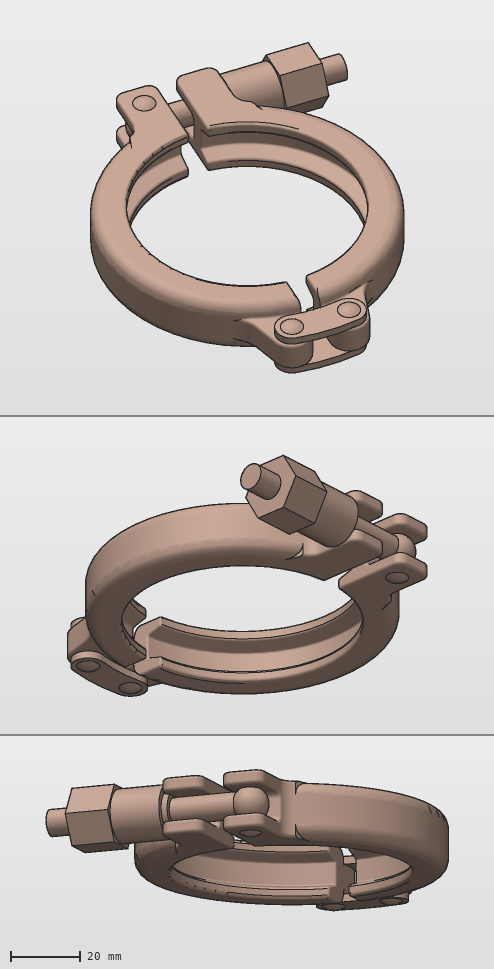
import cadquery as cq
import math

from_box = cq.selectors.BoxSelector
TOL = 0.1

RING_R = 45.4
BORE_R = 34.9
HALF_HEIGHT = 8.49
RIM_ROUND = 4.0
EDGE_ROUND = 1.0
GAP_HALF = 3.0
GROOVE_R = 40.0
GROOVE_MOUTH = 5.0
GROOVE_FLOOR = 3.5
GROOVE_ROUND = 0.7

BOLT_X = -52.3
FORK_END_X = -59.6
FORK_BACK_Y = 16.0
FORK_CORNER = 3.0
FORK_BLEND = 5.0
SLOT_HALF = 4.3
SLOT_END_X = -45.5
SLOT_ROUND = 1.8
FORK_PIN_Y = -9.4
CREST_ANGLE = 0.12

EAR_R = 6.0
EAR_HALF = 4.4
EAR_BLEND = 10.0
EAR_SLOPE = math.radians(16)
EAR_ROOT_ROUND = 0.6
PIN_X = 52.3
PIN_Y = GAP_HALF + EAR_R
LINK_R = EAR_R - EDGE_ROUND
LINK_TOP = 6.7

DOME_R = 3.4
DOME_HEIGHT = 1.15

BOLT_R = 4.0
BOLT_END_Y = 53.2
BALL_R = 5.4
NUT_FLATS = 17.1
NUT_BACK_Y = 44.7
NUT_SHOULDER_Y = 31.3
SHANK_R = 8.01
NOSE_LENGTH = 1.6
NOSE_BASE_R = 6.3
NOSE_TIP_R = 5.5


def polar(radius, angle):
    return radius * math.cos(angle), radius * math.sin(angle)


def cylinder_y(radius, y_start, y_end):
    """Solid cylinder about the bolt axis between two Y levels."""
    return (
        cq.Workplane("XZ", origin=(BOLT_X, y_start, 0))
        .circle(radius)
        .extrude(y_start - y_end)
    )


def full_ring():
    """Disc with rounded rims; the bore is cut later."""
    outer = cq.Workplane("XY").circle(RING_R).extrude(2 * HALF_HEIGHT).edges().fillet(RIM_ROUND)
    return outer.translate((0, 0, -HALF_HEIGHT))


def bore_cutter():
    """Bore with a tapered groove; its ends flare out to round off the bore edges."""
    mouth = BORE_R + EDGE_ROUND
    tangent = HALF_HEIGHT - EDGE_ROUND
    diagonal = EDGE_ROUND * math.sqrt(0.5)
    return (
        cq.Workplane("XZ")
        .moveTo(0, -HALF_HEIGHT)
        .lineTo(mouth, -HALF_HEIGHT)
        .threePointArc((mouth - diagonal, -tangent - diagonal), (BORE_R, -tangent))
        .lineTo(BORE_R, -GROOVE_MOUTH)
        .lineTo(GROOVE_R, -GROOVE_FLOOR)
        .lineTo(GROOVE_R, GROOVE_FLOOR)
        .lineTo(BORE_R, GROOVE_MOUTH)
        .lineTo(BORE_R, tangent)
        .threePointArc((mouth - diagonal, tangent + diagonal), (mouth, HALF_HEIGHT))
        .lineTo(0, HALF_HEIGHT)
        .close()
        .revolve(360, (0, 0, 0), (0, 1, 0))
    )


def half_envelope():
    """Long bar on the +Y side, rounded along its two edges at the gap."""
    depth = 2 * RING_R
    return (
        cq.Workplane("XY")
        .box(4 * RING_R, depth, 2 * HALF_HEIGHT)
        .translate((0, GAP_HALF + depth / 2, 0))
        .faces("<Y")
        .edges("|X")
        .fillet(EDGE_ROUND)
    )


def fork_lug():
    """Lug at +Y, blended into the ring by a concave arc."""
    blend_y = FORK_BACK_Y + FORK_BLEND
    blend_x = -math.sqrt((RING_R + FORK_BLEND) ** 2 - blend_y**2)
    ring_angle = math.atan2(blend_y, blend_x)
    arc_mid_angle = (ring_angle - math.pi - math.pi / 2) / 2
    mid = polar(FORK_BLEND, arc_mid_angle)
    root_r = RING_R - RIM_ROUND - EDGE_ROUND
    lug = (
        cq.Workplane("XY")
        .workplane(offset=-HALF_HEIGHT)
        .moveTo(-root_r, GAP_HALF)
        .lineTo(FORK_END_X, GAP_HALF)
        .lineTo(FORK_END_X, FORK_BACK_Y)
        .lineTo(blend_x, FORK_BACK_Y)
        .threePointArc((blend_x + mid[0], blend_y + mid[1]), polar(RING_R, ring_angle))
        .lineTo(*polar(root_r, ring_angle - CREST_ANGLE))
        .close()
        .extrude(2 * HALF_HEIGHT)
    )
    lug = lug.edges("|Z and <X").fillet(FORK_CORNER)
    outer_edges = from_box(
        (FORK_END_X - TOL, GAP_HALF - TOL, -HALF_HEIGHT - TOL),
        (blend_x + FORK_BLEND / 2, blend_y, HALF_HEIGHT + TOL),
    )
    return lug.faces("|Z").edges(outer_edges).fillet(EDGE_ROUND)


def ear_lug():
    """Hinge ear at +Y: round about the pin, tangent flank, concave blend into the ring."""
    normal = math.pi / 2 - EAR_SLOPE
    flank = PIN_X * math.cos(normal) + PIN_Y * math.sin(normal) + EAR_R
    ring_angle = normal - math.acos((flank + EAR_BLEND) / (RING_R + EAR_BLEND))
    blend_x, blend_y = polar(RING_R + EAR_BLEND, ring_angle)

    def on_blend(angle):
        dx, dy = polar(EAR_BLEND, angle)
        return blend_x + dx, blend_y + dy

    def on_end(angle):
        dx, dy = polar(EAR_R, angle)
        return PIN_X + dx, PIN_Y + dy

    root_r = (RING_R + GROOVE_R) / 2
    ear = (
        cq.Workplane("XY")
        .workplane(offset=-EAR_HALF)
        .moveTo(root_r, GAP_HALF)
        .lineTo(PIN_X, GAP_HALF)
        .threePointArc(on_end(0), on_end(normal))
        .lineTo(*on_blend(normal + math.pi))
        .threePointArc(on_blend((normal + ring_angle) / 2 + math.pi), on_blend(ring_angle + math.pi))
        .lineTo(*polar(root_r, ring_angle))
        .close()
        .extrude(2 * EAR_HALF)
    )
    free_edges = from_box((RING_R - EAR_R / 2, 0, -EAR_HALF - TOL), (PIN_X + EAR_R, RING_R, EAR_HALF + TOL))
    return ear.faces("|Z").edges(free_edges).fillet(EDGE_ROUND)


def slot_cutter():
    """Slot for the swing bolt, with its two inner corners rounded."""
    length = 2 * (SLOT_END_X - FORK_END_X)
    return (
        cq.Workplane("XY")
        .box(length, 2 * RING_R, 2 * SLOT_HALF)
        .translate((SLOT_END_X - length / 2, 0, 0))
        .edges("|Y and >X")
        .fillet(SLOT_ROUND)
    )


def round_ear_root(half):
    """Round the concave edges where the flat ear faces meet the ring."""
    for z in (-EAR_HALF, EAR_HALF):
        root = cq.selectors.NearestToPointSelector((*polar(RING_R, math.atan2(PIN_Y, PIN_X)), z))
        half = half.edges("%CIRCLE").edges(root).fillet(EAR_ROOT_ROUND)
    return half


def round_groove(half):
    """Round the groove edges along the ring and at the gap."""
    along_ring = [
        edge
        for edge in half.edges("%CIRCLE").vals()
        if round(edge.radius(), 2) in (BORE_R, GROOVE_R) and abs(edge.Center().z) < GROOVE_MOUTH + TOL
    ]
    lip_height = HALF_HEIGHT - EDGE_ROUND - TOL
    at_gap = from_box((-GROOVE_R, 0, -lip_height), (GROOVE_R, RING_R, lip_height))
    gap_edges = half.faces("<Y").edges(at_gap).vals()
    return half.newObject(along_ring + gap_edges).fillet(GROOVE_ROUND)


def clamp_half():
    """Half ring on the +Y side with its fork and hinge ear."""
    half = full_ring().intersect(half_envelope()).union(fork_lug()).union(ear_lug()).cut(bore_cutter())
    return round_groove(round_ear_root(half).cut(slot_cutter()))


def upper_half():
    """Half on the +Y side, with a seat for the nut nose."""
    half = clamp_half()
    slot_edges = from_box((FORK_END_X, 0, -SLOT_HALF - TOL), (SLOT_END_X, RING_R, SLOT_HALF + TOL))
    return half.faces("<Y").edges(slot_edges).fillet(EDGE_ROUND).cut(nose())


def lower_half():
    """Half on the -Y side, with all the edges of its slot mouth rounded."""
    half = clamp_half().mirror("XZ")
    slot_edges = from_box(
        (FORK_END_X - TOL, -FORK_BACK_Y - TOL, -SLOT_HALF - TOL),
        (SLOT_END_X - SLOT_ROUND - TOL, 0, SLOT_HALF + TOL),
    )
    return half.edges(slot_edges).edges("not(|Z)").fillet(EDGE_ROUND)


def link_plate(z_bottom):
    """Link curved about the ring axis, with a round end about each hinge pin."""
    pin_r = math.hypot(PIN_X, PIN_Y)
    pin_angle = math.atan2(PIN_Y, PIN_X)
    inner_r = pin_r - LINK_R
    outer_r = pin_r + LINK_R
    tip = polar(LINK_R, pin_angle + math.pi / 2)
    return (
        cq.Workplane("XY")
        .workplane(offset=z_bottom)
        .moveTo(*polar(inner_r, -pin_angle))
        .threePointArc((inner_r, 0), polar(inner_r, pin_angle))
        .threePointArc((PIN_X + tip[0], PIN_Y + tip[1]), polar(outer_r, pin_angle))
        .threePointArc((outer_r, 0), polar(outer_r, -pin_angle))
        .threePointArc((PIN_X + tip[0], -PIN_Y - tip[1]), polar(inner_r, -pin_angle))
        .close()
        .extrude(LINK_TOP - EAR_HALF)
    )


def dome(x, y, z):
    """Pin head: spherical cap standing on the level z."""
    rise = DOME_HEIGHT
    sphere_r = (DOME_R**2 + rise**2) / (2 * rise)
    ball = cq.Workplane("XY").sphere(sphere_r).translate((x, y, z + rise - sphere_r))
    above = cq.Workplane("XY").box(4 * DOME_R, 4 * DOME_R, 2 * rise).translate((x, y, z + rise))
    return ball.intersect(above)


def nose():
    """Tapered end of the nut, sunk into the fork."""
    return (
        cq.Workplane("XZ", origin=(BOLT_X, FORK_BACK_Y, 0))
        .circle(NOSE_BASE_R)
        .workplane(offset=NOSE_LENGTH)
        .circle(NOSE_TIP_R)
        .loft()
    )


def clamp():
    """Both halves, joined by the hinge links, with all pin heads."""
    top = link_plate(EAR_HALF)
    for y in (-PIN_Y, PIN_Y):
        top = top.union(dome(PIN_X, y, LINK_TOP))
    top = top.union(dome(BOLT_X, FORK_PIN_Y, HALF_HEIGHT))
    return upper_half().union(lower_half()).union(top).union(top.mirror("XY"))


def swing_bolt():
    """Plain rod with a ball eye, flattened to fit the fork slot."""
    ball = cq.Workplane("XY").sphere(BALL_R)
    flats = cq.Workplane("XY").box(4 * BALL_R, 4 * BALL_R, 2 * SLOT_HALF)
    eye = ball.intersect(flats).translate((BOLT_X, FORK_PIN_Y, 0))
    return cylinder_y(BOLT_R, FORK_PIN_Y, BOLT_END_Y).union(eye)


def nut():
    """Hexagon with a round shank and a tapered nose, bored for the bolt."""
    hexagon = (
        cq.Workplane("XZ", origin=(BOLT_X, NUT_SHOULDER_Y, 0))
        .polygon(6, NUT_FLATS / math.cos(math.pi / 6))
        .extrude(NUT_SHOULDER_Y - NUT_BACK_Y)
    )
    shank = cylinder_y(SHANK_R, FORK_BACK_Y, NUT_SHOULDER_Y)
    bore = cylinder_y(BOLT_R, 0, BOLT_END_Y)
    return hexagon.union(shank).union(nose()).cut(bore)


result = cq.Compound.makeCompound([clamp().val(), swing_bolt().val(), nut().val()])